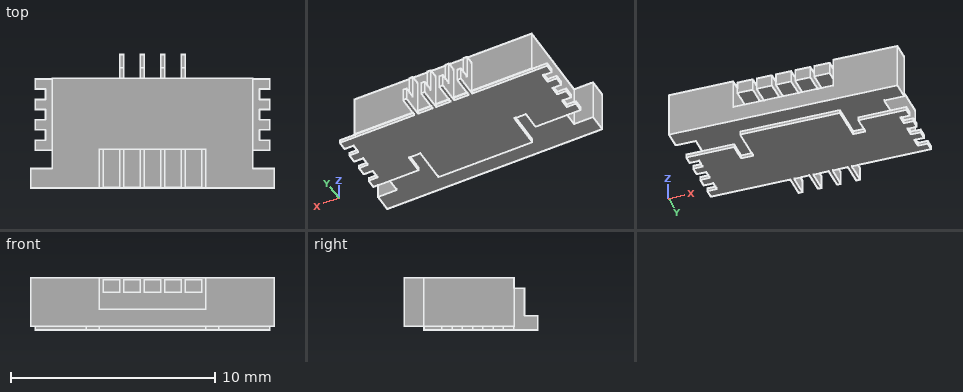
import cadquery as cq

front_width = 11.92
body_width = 9.82
wing_depth = 0.97
body_depth = 5.39
total_height = 2.56
base_thickness = 0.18

contact_pitch = 1.0
contact_gap = 0.2
tooth_count = 5
slot_depth = 1.91
slot_drop = 1.55
tooth_setback = 0.05
tooth_top_drop = 0.1
tooth_bottom_drop = 0.73
tooth_width = contact_pitch - contact_gap
slot_width = tooth_count * contact_pitch + contact_gap

pin_count = tooth_count - 1
pin_back = 6.55
pin_shoulder_back = 5.9
pin_shoulder_height = 2.05
pin_foot_height = 0.7

plate_half_width = 5.75
side_plate_inner = 3.24
tab_size = 0.5
tab_count = 4
plate_length = (2 * tab_count - 1) * tab_size
plate_inset = 0.04
plate_back = body_depth - plate_inset
plate_front = plate_back - plate_length
link_front = plate_front + 2 * tab_size


def box(x_min, x_max, y_min, y_max, z_min, z_max):
    """Box between the given limits."""
    return cq.Workplane("XY").box(
        x_max - x_min, y_max - y_min, z_max - z_min, centered=False
    ).translate((x_min, y_min, z_min))


def centred_box(centre_x, width, y_min, y_max, z_min, z_max):
    """Box of the given width, centred on centre_x."""
    half_width = width / 2
    return box(centre_x - half_width, centre_x + half_width, y_min, y_max, z_min, z_max)


def row_positions(count):
    """Centres of a row of contacts about X = 0."""
    return [(i - (count - 1) / 2) * contact_pitch for i in range(count)]


def make_housing():
    """T-shaped block with the open cable slot and its teeth."""
    wings = centred_box(0, front_width, 0, wing_depth, base_thickness, total_height)
    body = centred_box(0, body_width, 0, body_depth, base_thickness, total_height)
    slot = centred_box(0, slot_width, 0, slot_depth, total_height - slot_drop, total_height)
    housing = wings.union(body).cut(slot)
    for x in row_positions(tooth_count):
        tooth = centred_box(
            x, tooth_width, tooth_setback, slot_depth,
            total_height - tooth_bottom_drop, total_height - tooth_top_drop,
        )
        housing = housing.union(tooth)
    return housing


def make_pin(x):
    """Pin that leaves the back of the housing and steps down to a foot."""
    shoulder = centred_box(x, contact_gap, plate_back, pin_shoulder_back, 0, pin_shoulder_height)
    foot = centred_box(x, contact_gap, plate_back, pin_back, 0, pin_foot_height)
    return shoulder.union(foot)


def make_side_plate():
    """Plate on the +X side, notched along its outer edge to leave the tabs."""
    plate = box(side_plate_inner, plate_half_width, plate_front, plate_back, 0, base_thickness)
    for i in range(tab_count - 1):
        notch_front = plate_front + (2 * i + 1) * tab_size
        notch = box(
            plate_half_width - tab_size, plate_half_width,
            notch_front, notch_front + tab_size, 0, base_thickness,
        )
        plate = plate.cut(notch)
    return plate


def make_base():
    """Both side plates, the centre plate and the recessed link that joins them."""
    side_plate = make_side_plate()
    centre_plate = centred_box(0, slot_width, wing_depth, plate_back, 0, base_thickness)
    link = centred_box(0, 2 * side_plate_inner, link_front, plate_back, 0, base_thickness)
    return centre_plate.union(link).union(side_plate).union(side_plate.mirror("YZ"))


result = make_housing().union(make_base())
for pin_x in row_positions(pin_count):
    result = result.union(make_pin(pin_x))